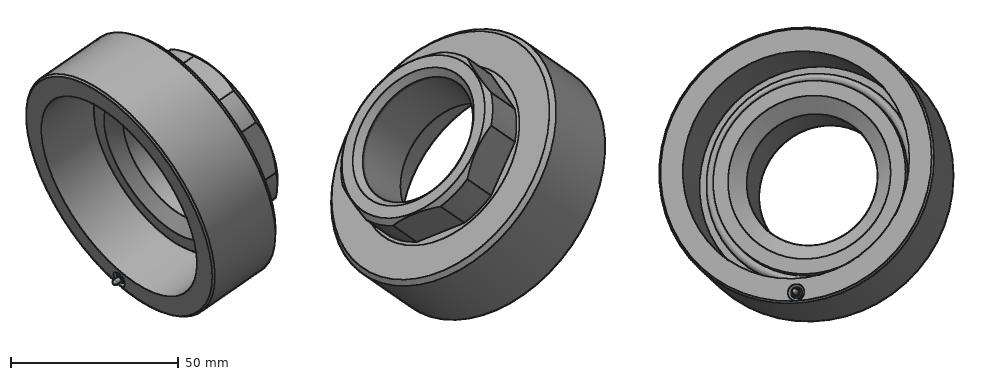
import cadquery as cq
import math


housing_radius = 42.3
housing_length = 26.2
cup_radius = 34.85
cup_depth = 20.7
front_chamfer = 0.6
rear_chamfer = 1.4

boss_radius = 29.6
boss_front = 16.3
insert_back = 39.6
hex_across_flats = 54.1
hex_corner_radius = 28.5
hex_chamfer = 1.7
mouth_radius = 25.0
throat_radius = 20.1
mouth_depth = 3.3
bore_taper = 1 / 32
land_length = 0.5
bore_chamfer = 2.1

seal_thickness = 2.8

plunger_z = -39.1
hole_depth = 10.15
hole_radius = 1.7
countersink_radius = 2.5
countersink_depth = 0.8
sleeve_front = 0.2
sleeve_nose_radius = 1.2
pin_radius = 0.9
pin_protrusion = 2.4


def revolve_about_y(points, axis_z=0.0):
    """Revolve a closed (radius, Y) outline about the line parallel to Y at height axis_z."""
    profile = cq.Workplane("XY").polyline(points).close()
    return profile.revolve(360, (0, 0, 0), (0, 1, 0)).translate((0, 0, axis_z))


def plunger_hole():
    """Blind hole with a countersunk mouth that holds the plunger sleeve."""
    return revolve_about_y(
        [
            (0, 0),
            (countersink_radius, 0),
            (hole_radius, countersink_depth),
            (hole_radius, hole_depth),
            (0, hole_depth),
        ],
        plunger_z,
    )


def make_housing():
    cup = revolve_about_y(
        [
            (cup_radius, 0),
            (housing_radius - front_chamfer, 0),
            (housing_radius, front_chamfer),
            (housing_radius, housing_length - rear_chamfer),
            (housing_radius - rear_chamfer, housing_length),
            (boss_radius, housing_length),
            (boss_radius, cup_depth),
            (cup_radius, cup_depth),
        ]
    )
    return cup.cut(plunger_hole())


def make_hexagon():
    """Hexagon with flats facing +Z and -Z, its corners rounded and its back end chamfered."""
    hex_length = insert_back - housing_length
    prism = (
        cq.Workplane("XZ", origin=(0, insert_back, 0))
        .polygon(6, hex_across_flats / math.cos(math.pi / 6))
        .extrude(hex_length)
    )
    turned_envelope = revolve_about_y(
        [
            (0, housing_length),
            (hex_corner_radius, housing_length),
            (hex_corner_radius, insert_back - hex_chamfer),
            (hex_corner_radius - hex_chamfer, insert_back),
            (0, insert_back),
        ]
    )
    return prism.intersect(turned_envelope)


def make_insert():
    boss = revolve_about_y(
        [(0, boss_front), (boss_radius, boss_front), (boss_radius, housing_length), (0, housing_length)]
    )
    throat_y = boss_front + mouth_depth
    chamfer_y = insert_back - bore_chamfer
    taper_back_y = chamfer_y - land_length
    land_radius = throat_radius + bore_taper * (taper_back_y - throat_y)
    bore = revolve_about_y(
        [
            (0, boss_front),
            (mouth_radius, boss_front),
            (throat_radius, throat_y),
            (land_radius, taper_back_y),
            (land_radius, chamfer_y),
            (land_radius + bore_chamfer, insert_back),
            (0, insert_back),
        ]
    )
    return boss.union(make_hexagon()).cut(bore)


def make_seal():
    seal_tube_radius = seal_thickness / 2
    ring_radius = boss_radius + seal_tube_radius
    seal_y = cup_depth - seal_tube_radius
    tube = cq.Workplane("XY").center(ring_radius, seal_y).circle(seal_tube_radius)
    return tube.revolve(360, (-ring_radius, 0, 0), (-ring_radius, 1, 0))


def make_sleeve():
    nose_length = hole_radius - sleeve_nose_radius
    return revolve_about_y(
        [
            (pin_radius, sleeve_front),
            (sleeve_nose_radius, sleeve_front),
            (hole_radius, sleeve_front + nose_length),
            (hole_radius, hole_depth),
            (pin_radius, hole_depth),
        ],
        plunger_z,
    )


def make_pin():
    """Round pin with a hemispherical tip."""
    tip_y = -pin_protrusion
    shoulder_y = tip_y + pin_radius
    tip_arc_offset = pin_radius * math.sqrt(0.5)
    profile = (
        cq.Workplane("XY")
        .moveTo(0, tip_y)
        .threePointArc((tip_arc_offset, shoulder_y - tip_arc_offset), (pin_radius, shoulder_y))
        .lineTo(pin_radius, hole_depth)
        .lineTo(0, hole_depth)
        .close()
    )
    return profile.revolve(360, (0, 0, 0), (0, 1, 0)).translate((0, 0, plunger_z))


housing = make_housing()
insert = make_insert()
seal = make_seal()
sleeve = make_sleeve()
pin = make_pin()

result = cq.Compound.makeCompound([housing.val(), insert.val(), seal.val(), sleeve.val(), pin.val()])